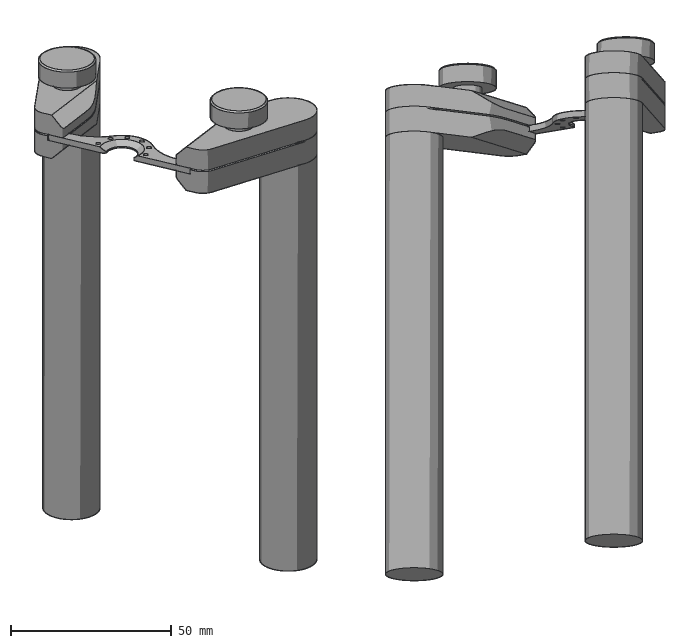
import cadquery as cq
import math

plate_turn = 25.0
arm_angle = 65.0

post_diameter = 18.0
post_length = 140.0
post_spacing = 77.45
post_setback = 39.14

clamp_height = 15.0
upper_jaw_height = 7.0
jaw_gap = 0.5
jaw_face_x = 20.0
jaw_bevel = 4.0
heel_radius = 5.0
flank_radius = 20.0
nose_radius = 1.0

screw_offset = 19.0
neck_diameter = 9.0
neck_height = 3.0
head_diameter = 18.0
head_height = 6.0
head_chamfer = 0.5

plate_thickness = 2.0
plate_half_length = 25.5
plate_arm_width = 4.0
plate_corner_radius = 1.0
ring_center_y = 2.0
ring_radius = 10.0
bore_top_radius = 7.0
bore_bottom_radius = 5.0
bore_land_height = 0.5
bore_tip_radius = 1.0
shoulder_radius = 16.0
pin_hole_diameter = 1.5
pin_hole_circle_radius = 8.5
pin_hole_count = 6
pin_hole_span = 180.0

clamp_top = post_length + clamp_height
split_level = clamp_top - upper_jaw_height
plate_bottom = split_level - plate_thickness

arm_radius = post_diameter / 2
post_x = post_spacing / 2
arm_direction = cq.Vector(-math.cos(math.radians(arm_angle)), -math.sin(math.radians(arm_angle)))
arm_outward = cq.Vector(-arm_direction.y, arm_direction.x)
post_center = cq.Vector(post_x, post_setback)
screw_center = post_center + arm_direction * screw_offset


def arm_blank():
    """Full-height arm: round at the post, straight sides, bevelled inner face."""
    outer_tangent = post_center + arm_outward * arm_radius
    inner_tangent = post_center - arm_outward * arm_radius
    round_end = post_center - arm_direction * arm_radius
    heel = outer_tangent - arm_direction * (outer_tangent.y / arm_direction.y)
    flank = inner_tangent + arm_direction * ((jaw_face_x - inner_tangent.x) / arm_direction.x)

    blank = (
        cq.Workplane("XY", origin=(0, 0, post_length))
        .moveTo(outer_tangent.x, outer_tangent.y)
        .lineTo(heel.x, heel.y)
        .lineTo(jaw_face_x, 0)
        .lineTo(flank.x, flank.y)
        .lineTo(inner_tangent.x, inner_tangent.y)
        .threePointArc((round_end.x, round_end.y), (outer_tangent.x, outer_tangent.y))
        .close()
        .extrude(clamp_height)
    )
    corners = (
        (heel.x, heel.y, heel_radius),
        (jaw_face_x, 0, nose_radius),
        (flank.x, flank.y, flank_radius),
    )
    mid_height = post_length + clamp_height / 2
    for x, y, radius in corners:
        blank = blank.edges(cq.NearestToPointSelector((x, y, mid_height))).fillet(radius)

    for level, inward in ((post_length, 1), (clamp_top, -1)):
        bevel = (
            cq.Workplane("XZ")
            .moveTo(jaw_face_x, level)
            .lineTo(jaw_face_x + jaw_bevel, level)
            .lineTo(jaw_face_x, level + inward * jaw_bevel)
            .close()
            .extrude(-post_setback)
        )
        blank = blank.cut(bevel)
    return blank


def layer(bottom, height):
    """Slab wide enough to cover the whole assembly."""
    size = 4 * post_spacing
    return cq.Workplane("XY", origin=(0, 0, bottom)).rect(size, size).extrude(height)


def upper_jaw():
    return arm_blank().intersect(layer(split_level, upper_jaw_height))


def lower_jaw():
    """Lower jaw: a round pad over the post keeps the rest clear of the upper jaw."""
    jaw = arm_blank().intersect(layer(post_length, clamp_height - upper_jaw_height))
    pad = (
        cq.Workplane("XY", origin=(post_x, post_setback, split_level - jaw_gap))
        .circle(arm_radius)
        .extrude(jaw_gap)
    )
    gap = layer(split_level - jaw_gap, jaw_gap).cut(pad)
    plate_pocket = (
        cq.Workplane("XY", origin=(0, 0, plate_bottom))
        .rect(plate_half_length, plate_arm_width, centered=False)
        .extrude(plate_thickness)
    )
    return jaw.cut(gap).cut(plate_pocket)


def post():
    return cq.Workplane("XY", origin=(post_x, post_setback, 0)).circle(arm_radius).extrude(post_length)


def thumb_screw():
    neck = (
        cq.Workplane("XY", origin=(screw_center.x, screw_center.y, clamp_top))
        .circle(neck_diameter / 2)
        .extrude(neck_height)
    )
    head = (
        cq.Workplane("XY", origin=(screw_center.x, screw_center.y, clamp_top + neck_height))
        .circle(head_diameter / 2)
        .extrude(head_height)
        .faces(">Z")
        .chamfer(head_chamfer)
    )
    return neck.union(head)


def ring_plate():
    """Open ring with a flared bore, a row of pin holes and two arms with rounded corners."""
    hollow_y = plate_arm_width + shoulder_radius
    hollow_x = math.sqrt((ring_radius + shoulder_radius) ** 2 - (hollow_y - ring_center_y) ** 2)
    ring_share = ring_radius / (ring_radius + shoulder_radius)
    ring_end_x = hollow_x * ring_share
    ring_end_y = ring_center_y + (hollow_y - ring_center_y) * ring_share

    tip_reach = bore_bottom_radius + bore_tip_radius
    tip_x = math.sqrt(tip_reach ** 2 - (ring_center_y - bore_tip_radius) ** 2)
    bore_share = bore_bottom_radius / tip_reach
    bore_end_x = tip_x * bore_share
    bore_end_y = ring_center_y + (bore_tip_radius - ring_center_y) * bore_share

    bore_top_y = ring_center_y + bore_bottom_radius

    plate = (
        cq.Workplane("XY", origin=(0, 0, plate_bottom))
        .moveTo(-tip_x, 0)
        .lineTo(-plate_half_length, 0)
        .lineTo(-plate_half_length, plate_arm_width)
        .lineTo(-hollow_x, plate_arm_width)
        .tangentArcPoint((-ring_end_x, ring_end_y), relative=False)
        .threePointArc((0, ring_center_y + ring_radius), (ring_end_x, ring_end_y))
        .tangentArcPoint((hollow_x, plate_arm_width), relative=False)
        .lineTo(plate_half_length, plate_arm_width)
        .lineTo(plate_half_length, 0)
        .lineTo(tip_x, 0)
        .tangentArcPoint((bore_end_x, bore_end_y), relative=False)
        .threePointArc((0, bore_top_y), (-bore_end_x, bore_end_y))
        .tangentArcPoint((-tip_x, 0), relative=False)
        .close()
        .extrude(plate_thickness)
    )
    for end_face in ("<X", ">X"):
        plate = plate.faces(end_face).edges("|Z").fillet(plate_corner_radius)

    flare = cq.Workplane(
        cq.Solid.makeCone(
            bore_bottom_radius,
            bore_top_radius,
            plate_thickness - bore_land_height,
            pnt=cq.Vector(0, ring_center_y, plate_bottom + bore_land_height),
        )
    )
    pin_holes = (
        cq.Workplane("XY", origin=(0, ring_center_y, plate_bottom))
        .polarArray(pin_hole_circle_radius, 0, pin_hole_span, pin_hole_count)
        .circle(pin_hole_diameter / 2)
        .extrude(plate_thickness)
    )
    return plate.cut(flare).cut(pin_holes)


def turned_solid(body):
    return body.rotate((0, 0, 0), (0, 0, 1), plate_turn).solids().val()


bodies = [turned_solid(ring_plate())]
for make_body in (post, lower_jaw, upper_jaw, thumb_screw):
    right_body = make_body()
    left_body = right_body.mirror("YZ")
    bodies.append(turned_solid(right_body))
    bodies.append(turned_solid(left_body))

result = cq.Compound.makeCompound(bodies)